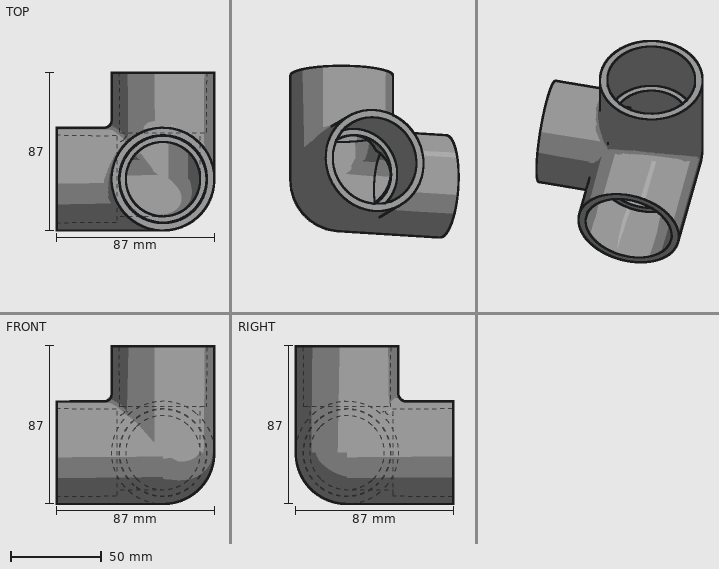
import cadquery as cq

overall = 87.0
outer_radius = 28.35
arm_length = overall - outer_radius
bore_radius = 20.5
socket_mouth_radius = 24.25
socket_end_radius = 23.95
socket_depth = 33.25
outer_crotch_fillet = 4.0
bore_crotch_fillet = 4.0

CENTRE = cq.Vector(0, 0, 0)
ARM_DIRECTIONS = [cq.Vector(-1, 0, 0), cq.Vector(0, 1, 0), cq.Vector(0, 0, 1)]


def rounded_corner(radius, crotch_fillet):
    """Ball at the corner plus a cylinder along each arm, with the inside corners filleted."""
    body = cq.Workplane("XY").sphere(radius)
    for direction in ARM_DIRECTIONS:
        body = body.union(cq.Workplane(cq.Solid.makeCylinder(radius, arm_length, CENTRE, direction)))
    return body.edges("%ELLIPSE").fillet(crotch_fillet)


def tapered_socket(direction):
    """Pipe socket of one arm, widest at the mouth and ending in a flat shoulder."""
    mouth_centre = direction * arm_length
    cone = cq.Solid.makeCone(
        socket_mouth_radius, socket_end_radius, socket_depth, mouth_centre, direction * -1
    )
    return cq.Workplane(cone)


result = rounded_corner(outer_radius, outer_crotch_fillet)
result = result.cut(rounded_corner(bore_radius, bore_crotch_fillet))
for arm_direction in ARM_DIRECTIONS:
    result = result.cut(tapered_socket(arm_direction))